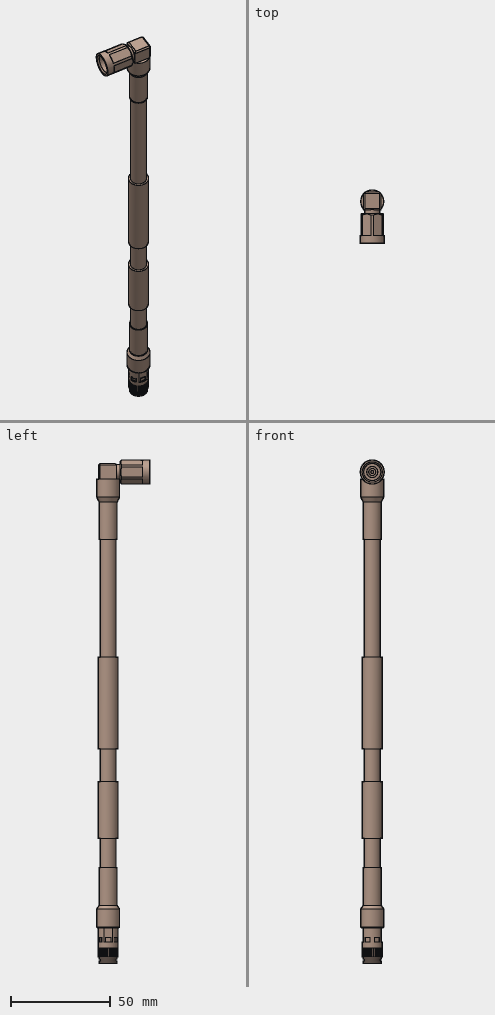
import cadquery as cq

length = 252.4
overall_depth = 26.8

cable_radius = 4.0
sleeve_radius = 5.0
sleeve_spans = [(62.5, 91.0), (107.5, 153.5)]

ferrule_radius = 4.5
collar_radius = 5.8

straight_ferrule_top = 48.0
straight_ferrule_bottom = 29.0
straight_cone_bottom = 27.3
straight_collar_bottom = 17.7
collar_edge_chamfer = 0.5
barrel_radius = 5.0
barrel_flat_distance = 4.5
barrel_flat_bottom = 10.5
notch_top = 12.9
notch_count = 6
notch_width = 2.8
notch_depth = 0.8
knurl_top = 7.5
knurl_bottom = 3.0
knurl_groove_count = 24
knurl_groove_width = 0.63
knurl_groove_depth = 0.38
tip_radius = 4.5
tip_groove_bottom = 1.0
tip_groove_top = 2.0
tip_groove_radius = 4.0

angle_ferrule_bottom = 212.5
angle_cone_bottom = 231.2
angle_cone_top = 233.7
angle_collar_top = 242.8

block_width = 8.5
block_back = 4.8
block_front = -4.3
block_top = 250.5
block_chamfer = 0.8

nut_radius = 6.0
nut_axis_height = length - nut_radius
nut_back = -6.0
nut_front = collar_radius - overall_depth
nut_back_chamfer = 0.8
hex_sides = 6
hex_across_flats = 11.0
hex_front = -17.2
neck_radius = 3.8
nut_bore_radius = 4.3
nut_bore_depth = 10.0
nut_mouth_chamfer = 0.8
insulator_radius = 2.8
insulator_bore_radius = 1.8
contact_radius = 0.8
contact_recess = 5.0


def cylinder(radius, bottom, top):
    """Cylinder on the cable axis between two heights."""
    return cq.Workplane("XY").workplane(offset=bottom).circle(radius).extrude(top - bottom)


def cross_cylinder(radius, back, front):
    """Cylinder on the nut axis, running from Y = back towards -Y."""
    plane = cq.Workplane("XZ", origin=(0, back, nut_axis_height))
    return plane.circle(radius).extrude(back - front)


def cone(bottom_radius, top_radius, bottom, top):
    """Cone frustum on the cable axis between two heights."""
    return cq.Workplane("XY").add(
        cq.Solid.makeCone(bottom_radius, top_radius, top - bottom, pnt=cq.Vector(0, 0, bottom))
    )


def radial_cutter(width, depth, bottom, top, angle):
    """Box that cuts a groove of the given depth into the barrel surface."""
    box = cq.Workplane("XY").box(2 * depth, width, top - bottom, centered=(True, True, False))
    return box.translate((barrel_radius, 0, bottom)).rotate((0, 0, 0), (0, 0, 1), angle)


def make_cable():
    """Plain cable, seated in the full length of both ferrules."""
    return cylinder(cable_radius, straight_ferrule_bottom, angle_cone_bottom)


def make_sleeve(bottom, top):
    """Marker sleeve around the cable."""
    return cylinder(sleeve_radius, bottom, top).cut(cylinder(cable_radius, bottom, top))


def make_barrel():
    """Mating barrel with wrench flats, notches, a knurled band and a reduced tip."""
    barrel = cylinder(barrel_radius, knurl_bottom, straight_collar_bottom)

    flat_depth = barrel_radius - barrel_flat_distance
    for angle in (0, 180):
        barrel = barrel.cut(
            radial_cutter(2 * barrel_radius, flat_depth, barrel_flat_bottom,
                          straight_collar_bottom, angle)
        )
    for i in range(notch_count):
        angle = i * 360 / notch_count
        barrel = barrel.cut(
            radial_cutter(notch_width, notch_depth, barrel_flat_bottom, notch_top, angle)
        )
    for i in range(knurl_groove_count):
        angle = i * 360 / knurl_groove_count
        barrel = barrel.cut(
            radial_cutter(knurl_groove_width, knurl_groove_depth, knurl_bottom, knurl_top, angle)
        )
    groove = cylinder(tip_radius, tip_groove_bottom, tip_groove_top)
    groove = groove.cut(cylinder(tip_groove_radius, tip_groove_bottom, tip_groove_top))
    tip = cylinder(tip_radius, 0, knurl_bottom).cut(groove)
    return barrel.union(tip)


def make_straight_connector(cable):
    """Lower connector: ferrule, collar and mating barrel on the cable axis."""
    collar = cylinder(collar_radius, straight_collar_bottom, straight_cone_bottom)
    collar = collar.faces("<Z").chamfer(collar_edge_chamfer)
    shoulder = cone(collar_radius, ferrule_radius, straight_cone_bottom, straight_ferrule_bottom)
    ferrule = cylinder(ferrule_radius, straight_ferrule_bottom, straight_ferrule_top)
    return make_barrel().union(collar).union(shoulder).union(ferrule).cut(cable)


def make_elbow_block():
    """Square elbow block with chamfered back and top edges."""
    block = cq.Workplane("XY").box(
        block_width,
        block_back - block_front,
        block_top - angle_collar_top,
        centered=(True, False, False),
    )
    block = block.translate((0, block_front, angle_collar_top))
    return block.edges("(|Z and >Y) or >Z").chamfer(block_chamfer)


def make_coupling_nut():
    """Coupling nut: hexagon with flats at +X and -X, round front rim, bore, insulator and contact."""
    nut = cross_cylinder(nut_radius, nut_back, nut_front)
    nut = nut.faces(">Y").chamfer(nut_back_chamfer)

    hex_length = nut_back - hex_front
    hexagon_plane = cq.Workplane("XZ", origin=(0, nut_back, nut_axis_height))
    hexagon = hexagon_plane.polygon(hex_sides, hex_across_flats, circumscribed=True).extrude(hex_length)
    rim = cross_cylinder(nut_radius, hex_front, nut_front)
    nut = nut.intersect(hexagon.union(rim))

    bore_floor = nut_front + nut_bore_depth
    nut = nut.cut(cross_cylinder(nut_bore_radius, bore_floor, nut_front))
    nut = nut.faces("<Y").edges(cq.selectors.RadiusNthSelector(0)).chamfer(nut_mouth_chamfer)

    contact_tip = nut_front + contact_recess
    insulator = cross_cylinder(insulator_radius, bore_floor, contact_tip)
    insulator = insulator.cut(cross_cylinder(insulator_bore_radius, bore_floor, contact_tip))
    contact = cross_cylinder(contact_radius, bore_floor, contact_tip)
    return nut.union(insulator).union(contact)


def make_angle_connector(cable):
    """Upper connector: ferrule and collar on the cable axis, elbow block and sideways nut."""
    ferrule = cylinder(ferrule_radius, angle_ferrule_bottom, angle_cone_bottom)
    shoulder = cone(ferrule_radius, collar_radius, angle_cone_bottom, angle_cone_top)
    collar = cylinder(collar_radius, angle_cone_top, angle_collar_top)
    neck = cross_cylinder(neck_radius, 0, nut_back)
    body = ferrule.union(shoulder).union(collar).union(make_elbow_block())
    return body.union(neck).union(make_coupling_nut()).cut(cable)


cable = make_cable()
sleeves = [make_sleeve(bottom, top) for bottom, top in sleeve_spans]
straight_connector = make_straight_connector(cable)
angle_connector = make_angle_connector(cable)

result = cq.Compound.makeCompound(
    [
        cable.val(),
        *[sleeve.val() for sleeve in sleeves],
        straight_connector.val(),
        angle_connector.val(),
    ]
)